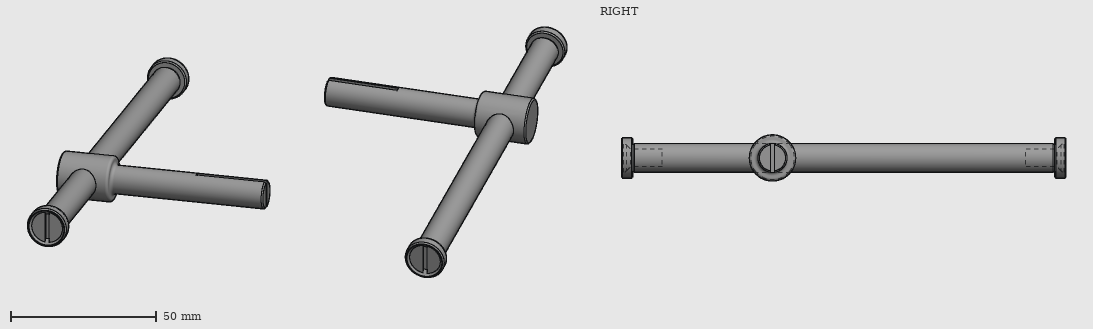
import cadquery as cq


head_diameter = 16.0
head_length = 18.5
head_back_chamfer = 0.5
head_front_fillet = 1.0
root_fillet = 1.25
shank_diameter = 10.0
holder_length = 73.0
shank_tip_chamfer = 0.5
split_width = 1.5
split_length = 25.0

rod_diameter = 10.0
rod_end_chamfer = 0.5
rod_front = 48.0
rod_back = 97.0

cap_diameter = 14.0
cap_thickness = 4.0
cap_chamfer = 0.5
countersink_diameter = 12.5
countersink_angle = 90.0
screw_recess = 0.75
screw_diameter = 6.0
screw_thread_length = 10.0
slot_width = 1.5
slot_depth = 1.0

head_radius = head_diameter / 2
head_half_length = head_length / 2
shank_radius = shank_diameter / 2
screw_radius = screw_diameter / 2
head_face_radius = countersink_diameter / 2 - screw_recess
cone_depth = head_face_radius - screw_radius
holder_tip = holder_length - head_half_length


def make_holder():
    """Turned head and filleted shank, bored across for the rod and split at the tip."""
    body = (
        cq.Workplane("XY")
        .moveTo(-head_half_length, 0)
        .lineTo(-head_half_length, head_radius - head_back_chamfer)
        .lineTo(-head_half_length + head_back_chamfer, head_radius)
        .lineTo(head_half_length - head_front_fillet, head_radius)
        .radiusArc((head_half_length, head_radius - head_front_fillet), head_front_fillet)
        .lineTo(head_half_length, shank_radius + root_fillet)
        .radiusArc((head_half_length + root_fillet, shank_radius), -root_fillet)
        .lineTo(holder_tip - shank_tip_chamfer, shank_radius)
        .lineTo(holder_tip, shank_radius - shank_tip_chamfer)
        .lineTo(holder_tip, 0)
        .close()
        .revolve(360, (0, 0, 0), (1, 0, 0))
    )
    rod_bore = cq.Workplane("XZ").circle(rod_diameter / 2).extrude(head_diameter, both=True)
    split = (
        cq.Workplane("XY")
        .box(split_length, split_width, shank_diameter)
        .translate((holder_tip - split_length / 2, 0, 0))
    )
    return body.cut(rod_bore).cut(split)


def make_rod():
    """Plain rod with chamfered ends and a screw hole in each end."""
    rod = (
        cq.Workplane("XZ", origin=(0, rod_back, 0))
        .circle(rod_diameter / 2)
        .extrude(rod_front + rod_back)
        .faces("<Y or >Y")
        .chamfer(rod_end_chamfer)
    )
    for end in ("<Y", ">Y"):
        rod = rod.faces(end).workplane(centerOption="CenterOfMass").hole(screw_diameter, screw_thread_length)
    return rod


def make_cap():
    """Chamfered disc with a countersunk hole: inner face on y = 0, outer face toward -Y."""
    return (
        cq.Workplane("XZ")
        .circle(cap_diameter / 2)
        .extrude(cap_thickness)
        .faces("<Y or >Y")
        .chamfer(cap_chamfer)
        .faces("<Y")
        .workplane(centerOption="CenterOfMass")
        .cskHole(screw_diameter, countersink_diameter, countersink_angle)
    )


def make_screw():
    """Slotted countersunk screw placed as it sits in the cap."""
    face_y = screw_recess - cap_thickness
    body = (
        cq.Workplane("XY")
        .moveTo(0, face_y)
        .lineTo(head_face_radius, face_y)
        .lineTo(screw_radius, face_y + cone_depth)
        .lineTo(screw_radius, screw_thread_length)
        .lineTo(0, screw_thread_length)
        .close()
        .revolve(360, (0, 0, 0), (0, 1, 0))
    )
    slot = (
        cq.Workplane("XY")
        .box(slot_width, slot_depth, cap_diameter)
        .translate((0, face_y + slot_depth / 2, 0))
    )
    return body.cut(slot)


def place_on_rod_ends(part):
    """One copy on each rod end, the +Y copy turned half around Z."""
    front = part.translate((0, -rod_front, 0))
    back = part.rotate((0, 0, 0), (0, 0, 1), 180).translate((0, rod_back, 0))
    return [front.val(), back.val()]


holder = make_holder()
rod = make_rod()
caps = place_on_rod_ends(make_cap())
screws = place_on_rod_ends(make_screw())

result = cq.Compound.makeCompound([holder.val(), rod.val(), *caps, *screws])